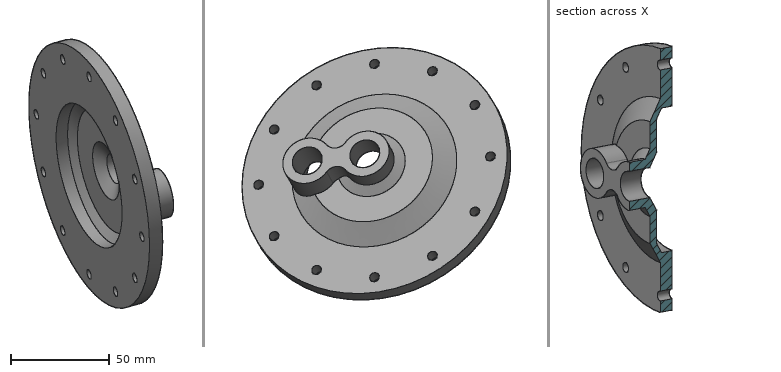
import cadquery as cq
import math

flange_radius = 69.8
flange_thickness = 7.5
bolt_count = 12
bolt_circle_radius = 61.0
bolt_hole_diameter = 5.0

cone_slope = math.tan(math.radians(30))

hub_top_radius = 32.3
hub_height = 14.0
hub_base_radius = hub_top_radius + (hub_height - flange_thickness) / cone_slope

boss_radius = 12.9
boss_spacing = 30.3
overall_depth = 26.8
boss_cone_height = 3.0
boss_cone_radius = boss_radius + boss_cone_height / cone_slope
web_fillet_radius = 6.1

recess_radius = 38.1
recess_wall_depth = 6.5
recess_floor_radius = 33.0
recess_depth = recess_wall_depth + (recess_radius - recess_floor_radius) * cone_slope
bore_radius = 7.8
countersink_radius = 15.4
countersink_depth = (countersink_radius - bore_radius) * cone_slope


def revolve_profile(points):
    """Revolve (radius, depth) points about the Y axis."""
    return cq.Workplane("XY").polyline(points).close().revolve(360, (0, 0), (0, 1))


def cylinder(x, radius, start, end):
    """Cylinder along +Y, centred on X = x and Z = 0."""
    plane = cq.Workplane("XZ", origin=(x, start, 0))
    return plane.circle(radius).extrude(start - end)


def make_boss_web():
    """Material between the bosses, bounded by an arc tangent to both on each side."""
    centre_x = boss_spacing / 2
    centre_distance = boss_radius + web_fillet_radius
    centre_z = math.sqrt(centre_distance**2 - centre_x**2)
    tangent_x = centre_x * boss_radius / centre_distance
    tangent_z = centre_z * boss_radius / centre_distance
    waist_z = centre_z - web_fillet_radius
    far_x = boss_spacing - tangent_x
    return (
        cq.Workplane("XZ", origin=(0, flange_thickness, 0))
        .moveTo(0, 0)
        .lineTo(tangent_x, tangent_z)
        .threePointArc((centre_x, waist_z), (far_x, tangent_z))
        .lineTo(boss_spacing, 0)
        .lineTo(far_x, -tangent_z)
        .threePointArc((centre_x, -waist_z), (tangent_x, -tangent_z))
        .close()
        .extrude(flange_thickness - overall_depth)
    )


def make_body():
    """Flange, hub and central boss, joined with the offset boss and its web."""
    boss_cone_top = hub_height + boss_cone_height
    body = revolve_profile([
        (0, 0),
        (flange_radius, 0),
        (flange_radius, flange_thickness),
        (hub_base_radius, flange_thickness),
        (hub_top_radius, hub_height),
        (boss_cone_radius, hub_height),
        (boss_radius, boss_cone_top),
        (boss_radius, overall_depth),
        (0, overall_depth),
    ])
    offset_boss = cylinder(boss_spacing, boss_radius, flange_thickness, overall_depth)
    return body.union(offset_boss).union(make_boss_web())


def make_recess():
    """Stepped front recess with the countersunk central bore."""
    return revolve_profile([
        (0, 0),
        (recess_radius, 0),
        (recess_radius, recess_wall_depth),
        (recess_floor_radius, recess_depth),
        (countersink_radius, recess_depth),
        (bore_radius, recess_depth + countersink_depth),
        (bore_radius, overall_depth),
        (0, overall_depth),
    ])


def make_bolt_holes():
    """Ring of through holes around the flange."""
    return (
        cq.Workplane("XZ")
        .polarArray(bolt_circle_radius, 0, 360, bolt_count)
        .circle(bolt_hole_diameter / 2)
        .extrude(-flange_thickness)
    )


offset_bore = cylinder(boss_spacing, bore_radius, 0, overall_depth)
result = make_body().cut(make_recess()).cut(offset_bore).cut(make_bolt_holes())